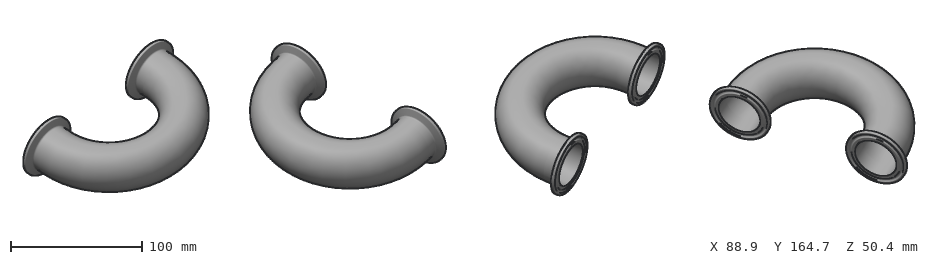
import cadquery as cq
import math


TUBE_RADIUS = 38.1 / 2
BORE_RADIUS = 34.8 / 2
BEND_RADIUS = 57.15
LEG_LENGTH = 12.7

FLANGE_RADIUS = 50.39 / 2
RIM_THICKNESS = 2.85
TAPER_ANGLE = 20.0
RIM_FILLET = 0.4
NECK_FILLET = 1.1

GROOVE_CENTER_RADIUS = 43.7 / 2
GROOVE_WIDTH = 2.8
GROOVE_DEPTH = 1.0
GROOVE_EDGE_FILLET = 0.5

EDGE_TOLERANCE = 1e-3


def fillet_circle(body, x, circle_radius, fillet_radius):
    """Round the circular edge about the X axis at the given X position and radius."""

    def is_wanted(edge):
        at_position = abs(edge.Center().x - x) < EDGE_TOLERANCE
        has_radius = abs(edge.radius() - circle_radius) < EDGE_TOLERANCE
        return at_position and has_radius

    return body.edges("%CIRCLE").filter(is_wanted).fillet(fillet_radius)


def make_ferrule():
    """Bored ferrule along +X, with its sealing face in the plane X = 0."""
    taper_height = FLANGE_RADIUS - TUBE_RADIUS
    taper_length = taper_height * math.tan(math.radians(TAPER_ANGLE))
    neck_start = RIM_THICKNESS + taper_length
    groove_inner = GROOVE_CENTER_RADIUS - GROOVE_WIDTH / 2
    groove_outer = GROOVE_CENTER_RADIUS + GROOVE_WIDTH / 2

    profile = (
        cq.Workplane("XY")
        .lineTo(0, groove_inner)
        .threePointArc((GROOVE_DEPTH, GROOVE_CENTER_RADIUS), (0, groove_outer))
        .lineTo(0, FLANGE_RADIUS)
        .lineTo(RIM_THICKNESS, FLANGE_RADIUS)
        .lineTo(neck_start, TUBE_RADIUS)
        .lineTo(LEG_LENGTH, TUBE_RADIUS)
        .lineTo(LEG_LENGTH, 0)
        .close()
    )
    ferrule = profile.revolve(360, (0, 0, 0), (1, 0, 0))

    ferrule = fillet_circle(ferrule, neck_start, TUBE_RADIUS, NECK_FILLET)
    for rim_x in (0, RIM_THICKNESS):
        ferrule = fillet_circle(ferrule, rim_x, FLANGE_RADIUS, RIM_FILLET)
    for groove_radius in (groove_inner, groove_outer):
        ferrule = fillet_circle(ferrule, 0, groove_radius, GROOVE_EDGE_FILLET)

    bore = cq.Workplane("YZ").circle(BORE_RADIUS).extrude(LEG_LENGTH)
    return ferrule.cut(bore)


def make_bend():
    """Half-torus tube on the +X side of the origin."""
    return (
        cq.Workplane("YZ")
        .center(-BEND_RADIUS, 0)
        .circle(TUBE_RADIUS)
        .circle(BORE_RADIUS)
        .revolve(180, (BEND_RADIUS, 0, 0), (BEND_RADIUS, 1, 0))
    )


ferrule = make_ferrule()
result = make_bend()
for side in (-1, 1):
    result = result.union(ferrule.translate((-LEG_LENGTH, side * BEND_RADIUS, 0)))